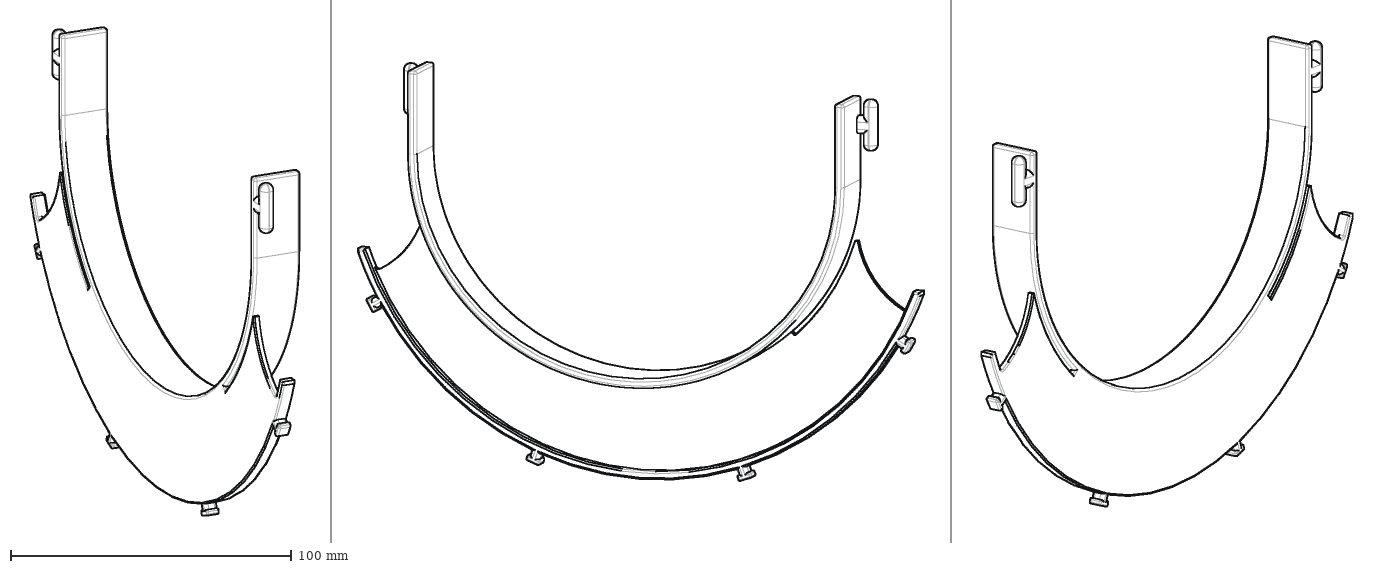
import cadquery as cq
import math

span = 215.1
leg_height = 30.1

band_width = 18.0
band_wall = 3.5
band_half_span = 83.5
band_drop = 79.2
band_round = 0.97

plate_radius = 114.9
plate_thickness = 2.2
plate_round = 0.54
horn_height = -22.5
end_arc_x = 116.2
end_arc_z = -16.3
end_arc_radius = 34.0

slot_width = 1.7
slot_end_angle = 45.0

rim_wall = 3.0
rim_height = 5.0
rim_tip_height = -39.0
rim_round = 0.6
rim_corner_radius = 1.3

rim_inner_radius = plate_radius - rim_wall
end_arc_distance = math.hypot(end_arc_x, end_arc_z)
rim_corner_angle = math.atan2(end_arc_z, end_arc_x) - math.acos(
    (rim_inner_radius**2 + end_arc_distance**2 - end_arc_radius**2)
    / (2 * rim_inner_radius * end_arc_distance)
)
rim_corner_x = rim_inner_radius * math.cos(rim_corner_angle)
rim_corner_z = rim_inner_radius * math.sin(rim_corner_angle)

hook_bar_width = 5.2
hook_depth = 5.0
hook_bar_round = 2.4
hook_length = 18.7
hook_center_x = 88.0
hook_center_z = 20.2
hook_stem_height = 6.5
hook_stem_round = 2.0

nub_angles = (30.0, 70.0, 110.0, 150.0)
nub_reach = 4.3
nub_head_depth = 2.2
nub_head_length = 5.4
nub_stem_width = 3.7
nub_stem_round = 1.3
nub_round = 0.6


def front_plane():
    """XZ workplane whose extrusions grow toward +Y when given a negative depth."""
    return cq.Workplane("XZ")


def box(x_min, x_max, y_min, y_max, z_min, z_max):
    return cq.Workplane("XY").box(
        x_max - x_min, y_max - y_min, z_max - z_min, centered=False
    ).translate((x_min, y_min, z_min))


def disc(radius, depth, x=0.0, z=0.0):
    return front_plane().center(x, z).circle(radius).extrude(-depth)


def u_block(inset, depth):
    """Solid U shape, offset inward from the outer face of the band."""
    half = band_half_span - inset
    drop = band_drop - inset
    bowl = front_plane().ellipse(half, drop).extrude(-depth)
    bowl = bowl.intersect(box(-half, half, 0, depth, -drop, 0))
    return bowl.union(box(-half, half, 0, depth, 0, leg_height))


def make_band():
    band = u_block(0, band_width).cut(u_block(band_wall, band_width))
    return band.faces("<Y or >Y or >Z").edges().fillet(band_round)


def make_slots():
    """Gap outside the band, running down to the slot end angle on both sides."""
    gap = u_block(-slot_width, plate_thickness).cut(u_block(band_wall / 2, plate_thickness))
    reach = 2 * plate_radius
    reach_x = reach * math.cos(math.radians(slot_end_angle))
    reach_z = -reach * math.sin(math.radians(slot_end_angle))
    between_ends = (
        front_plane().polyline([(0, 0), (reach_x, reach_z), (-reach_x, reach_z)]).close()
        .extrude(-plate_thickness)
    )
    return gap.cut(between_ends)


def rim_ring(depth):
    """Arc-shaped strip along the plate edge, cut level at both tips."""
    ring = disc(plate_radius, depth).cut(disc(rim_inner_radius, depth))
    return ring.intersect(box(-span / 2, span / 2, 0, depth, -plate_radius, rim_tip_height))


def make_plate():
    plate = disc(plate_radius, plate_thickness)
    plate = plate.intersect(
        box(-plate_radius, plate_radius, 0, plate_thickness, -plate_radius, horn_height)
    )
    plate = plate.cut(u_block(band_wall / 2, plate_thickness))
    for side in (-1, 1):
        plate = plate.cut(disc(end_arc_radius, plate_thickness, side * end_arc_x, end_arc_z))
    plate = plate.cut(make_slots()).union(rim_ring(plate_thickness))
    for side in (-1, 1):
        corner = (side * rim_corner_x, plate_thickness / 2, rim_corner_z)
        plate = plate.edges("|Y").edges(cq.NearestToPointSelector(corner)).fillet(rim_corner_radius)
    return plate.faces("<Y").edges().fillet(plate_round)


def make_rim():
    return rim_ring(rim_height).faces("<Y or >Y").edges().fillet(rim_round)


def make_hook(side):
    bar = box(
        hook_center_x - hook_bar_width / 2, hook_center_x + hook_bar_width / 2, 0, hook_depth,
        hook_center_z - hook_length / 2, hook_center_z + hook_length / 2,
    ).edges().fillet(hook_bar_round)
    stem = box(
        band_half_span - band_wall / 2, hook_center_x, 0, hook_depth,
        hook_center_z - hook_stem_height / 2, hook_center_z + hook_stem_height / 2,
    ).edges("|X").fillet(hook_stem_round)
    hook = bar.union(stem)
    return hook if side > 0 else hook.mirror("YZ")


def make_nub(angle):
    tip = plate_radius + nub_reach
    stem = box(
        plate_radius - rim_wall / 2, tip - nub_head_depth / 2, 0, rim_height,
        -nub_stem_width / 2, nub_stem_width / 2,
    )
    head = box(
        tip - nub_head_depth, tip, 0, rim_height, -nub_head_length / 2, nub_head_length / 2
    ).edges().fillet(nub_round)
    stem = stem.edges("|X").fillet(nub_stem_round)
    return head.union(stem).rotate((0, 0, 0), (0, 1, 0), angle)


result = make_band().union(make_plate()).union(make_rim())
for side in (-1, 1):
    result = result.union(make_hook(side))
for angle in nub_angles:
    result = result.union(make_nub(angle))